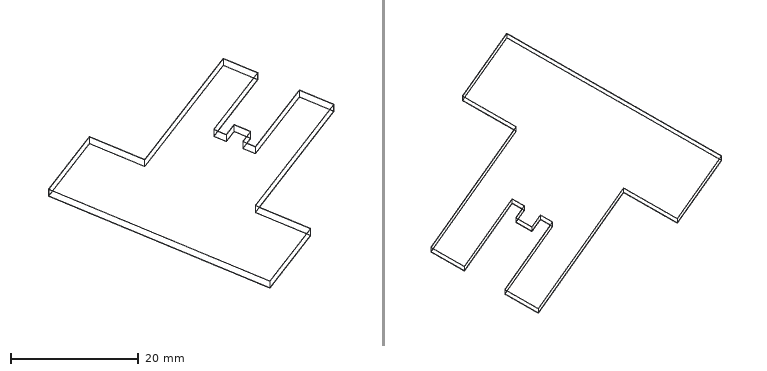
import cadquery as cq

base_width = 40.0
total_length = 38.0
thickness = 1.6

base_length = 13.0
stem_width = base_width / 2

slot_width = 7.5
slot_depth = 14.0
tab_width = 3.0
tab_height = 2.5

slot_floor = total_length - slot_depth


def centered_block(width, y_start, y_end):
    """Full-thickness block centred on X = 0, between two Y positions."""
    return (
        cq.Workplane("XY")
        .rect(width, y_end - y_start)
        .extrude(thickness)
        .translate((0, (y_start + y_end) / 2, 0))
    )


base = centered_block(base_width, 0, base_length)
stem = centered_block(stem_width, 0, total_length)
slot = centered_block(slot_width, slot_floor, total_length)
tab = centered_block(tab_width, 0, slot_floor + tab_height)

result = base.union(stem).cut(slot).union(tab).clean()